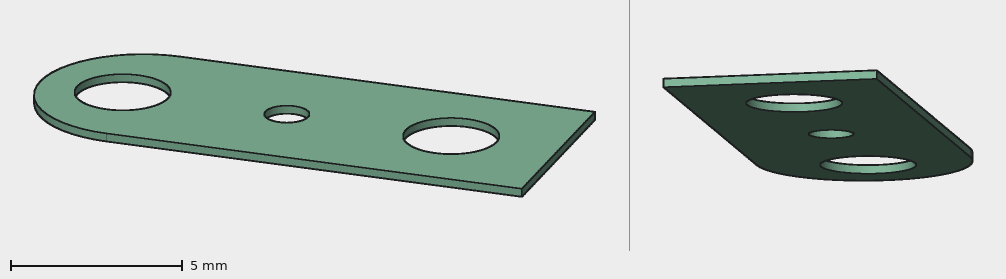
import cadquery as cq

length = 16.0
width = 6.35
thickness = 0.25
end_radius = width / 2

large_hole_diameter = 2.8
small_hole_diameter = 1.31
first_hole_x = 2.55
hole_spacing = 5.07


def make_plate():
    """Flat strip with a semicircular end at X = 0 and a square end at X = length."""
    return (
        cq.Workplane("XY")
        .moveTo(end_radius, -end_radius)
        .lineTo(length, -end_radius)
        .lineTo(length, end_radius)
        .lineTo(end_radius, end_radius)
        .threePointArc((0, 0), (end_radius, -end_radius))
        .close()
        .extrude(thickness)
    )


def make_hole(x, diameter):
    """Cylinder that cuts a through hole on the centreline."""
    return cq.Workplane("XY").center(x, 0).circle(diameter / 2).extrude(thickness)


result = make_plate()
hole_diameters = (large_hole_diameter, small_hole_diameter, large_hole_diameter)
for index, diameter in enumerate(hole_diameters):
    result = result.cut(make_hole(first_hole_x + index * hole_spacing, diameter))